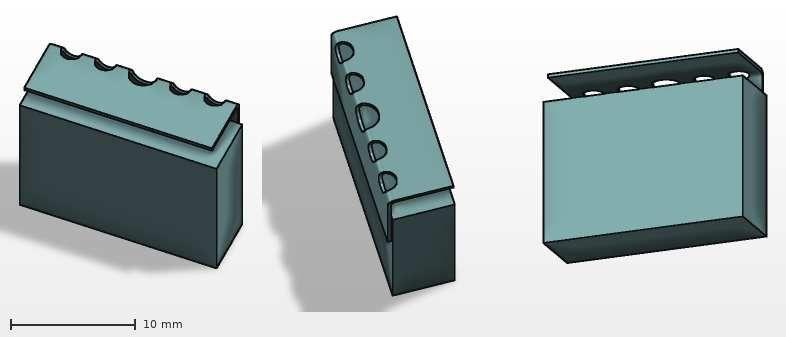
import cadquery as cq
import math

housing_width = 17.2
housing_depth = 5.2
housing_height = 12.0

sheet_thickness = 0.3
strip_width = 16.4
strip_top = 14.3
strip_bottom = 8.0
bend_inner_radius = 0.3

large_hole_diameter = 2.36
small_hole_diameter = 1.74
inner_hole_offset = 3.28
outer_hole_offset = 6.27
holes = [(0.0, large_hole_diameter)]
for offset in (inner_hole_offset, outer_hole_offset):
    for side in (-1, 1):
        holes.append((side * offset, small_hole_diameter))

bend_outer_radius = bend_inner_radius + sheet_thickness
bend_middle_radius = bend_inner_radius + sheet_thickness / 2
bend_length = bend_middle_radius * math.pi / 2
strip_back = housing_depth + sheet_thickness
bend_axis_y = strip_back - bend_outer_radius
bend_axis_z = strip_top - bend_outer_radius

hole_centre_from_top = 0.17
hole_centre_from_wall = bend_length - hole_centre_from_top

cutter_overrun = 0.1
bend_cutter_sections = 13


def make_housing():
    return cq.Workplane("XY").box(
        housing_width, housing_depth, housing_height, centered=(True, False, False)
    )


def make_top_flange():
    """Flat part above the housing, with the part of each hole that reaches into it."""
    flange = (
        cq.Workplane("XY", origin=(0, 0, strip_top - sheet_thickness))
        .box(strip_width, bend_axis_y, sheet_thickness, centered=(True, False, False))
    )
    for x, diameter in holes:
        centre = (x, bend_axis_y + hole_centre_from_top, strip_top - sheet_thickness)
        flange = flange.cut(
            cq.Workplane("XY", origin=centre).circle(diameter / 2).extrude(sheet_thickness)
        )
    return flange


def make_back_wall():
    """Upright part behind the housing, with the part of each hole that reaches into it."""
    wall = (
        cq.Workplane("XY", origin=(0, housing_depth, strip_bottom))
        .box(strip_width, sheet_thickness, bend_axis_z - strip_bottom, centered=(True, False, False))
    )
    for x, diameter in holes:
        centre = (x, strip_back, bend_axis_z + hole_centre_from_wall)
        wall = wall.cut(
            cq.Workplane("XZ", origin=centre).circle(diameter / 2).extrude(sheet_thickness)
        )
    return wall


def bend_hole_cutter(x, diameter):
    """Part of a hole inside the bend: its width follows the circle wrapped round the bend."""
    inner = bend_inner_radius - cutter_overrun
    outer = bend_outer_radius + cutter_overrun
    sections = []
    for i in range(bend_cutter_sections):
        angle = math.pi / 2 * i / (bend_cutter_sections - 1)
        from_centre = bend_middle_radius * angle - hole_centre_from_top
        half_width = math.sqrt((diameter / 2) ** 2 - from_centre**2)
        corners = []
        for side, radius in ((-1, inner), (1, inner), (1, outer), (-1, outer)):
            y = bend_axis_y + radius * math.sin(angle)
            z = bend_axis_z + radius * math.cos(angle)
            corners.append(cq.Vector(x + side * half_width, y, z))
        sections.append(cq.Wire.makePolygon(corners, close=True))
    return cq.Workplane(obj=cq.Solid.makeLoft(sections))


def make_bend():
    """Quarter-round part joining the top flange to the back wall."""
    mid = math.sqrt(0.5)
    bend = (
        cq.Workplane("YZ", origin=(-strip_width / 2, bend_axis_y, bend_axis_z))
        .moveTo(0, bend_inner_radius)
        .lineTo(0, bend_outer_radius)
        .threePointArc((bend_outer_radius * mid, bend_outer_radius * mid), (bend_outer_radius, 0))
        .lineTo(bend_inner_radius, 0)
        .threePointArc((bend_inner_radius * mid, bend_inner_radius * mid), (0, bend_inner_radius))
        .close()
        .extrude(strip_width)
    )
    for x, diameter in holes:
        bend = bend.cut(bend_hole_cutter(x, diameter))
    return bend


result = make_housing().union(make_back_wall()).union(make_bend()).union(make_top_flange())